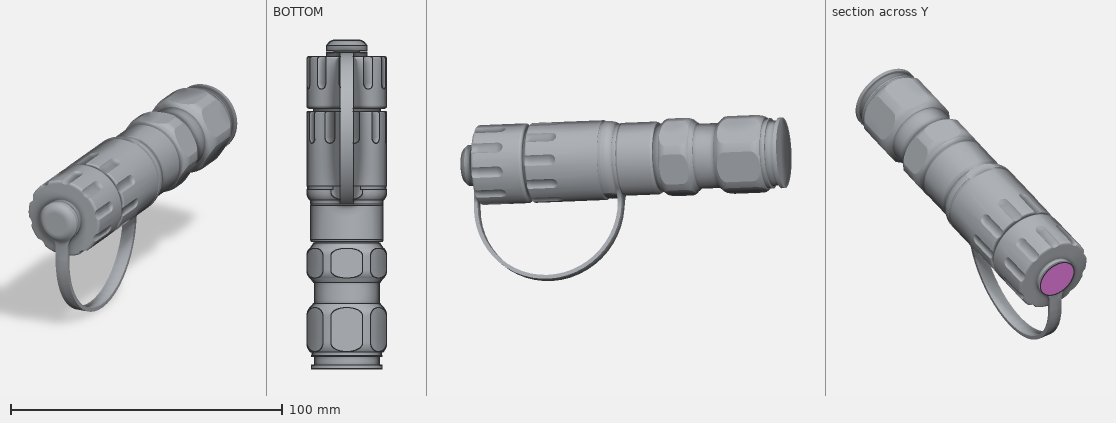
import cadquery as cq
import math


length = 121.2
sleeve_dia = 29.5
nut_flat_width = 27.0
body_dia = 26.9
barrel_dia = 24.0
flange_dia = 26.0
nut_collar_dia = 25.6
nut_end_dia = 26.7
rear_neck_dia = 23.5
front_neck_dia = 24.7
cap_dia = 15.0
cap_neck_dia = 9.5

rear_flange_end = 1.3
rear_collar_start = 4.5
rear_collar_end = 5.0

rear_nut_start = 6.2
rear_nut_end = 22.8
rear_nut_round = 3.4
rear_nut_cone = 1.2
front_nut_start = 33.3
front_nut_end = 44.6
front_nut_round = 2.9
front_nut_rear_cone = 1.5
front_nut_front_cone = 1.7
nut_cone_drop = 1.1

body_start = 46.9
body_end = 60.7
body_rear_chamfer_length = 0.8
body_front_chamfer_length = 0.6
body_chamfer_depth = 0.4

strap_thickness = 1.5
strap_width = 5.0
rear_ring_dia = 26.7
ring_flare_radius = 7.3
strap_drop = 16.1

shoulder_start = body_end + strap_thickness
shoulder_round_end = 65.1
shoulder_land_end = 66.2
shoulder_groove_dia = 28.8
sleeve_start = 67.4
sleeve_end = 94.9
sleeve_edge_round = 0.7

collar_start = 96.0
collar_end = 115.1
collar_rear_round = 1.1
collar_front_round = 1.0

cap_ring_end = collar_end + strap_thickness
knob_start = 117.2
knob_rear_round = 0.2
knob_cone_start = 119.1
knob_crown_start = 120.2
knob_crown_dia = 13.1
knob_face_dia = 8.6

flute_count = 10
flute_radius = 2.4
flute_floor_radius = 13.6
sleeve_flute_ball = 85.2
sleeve_flute_angle = 29.0
collar_flute_ball = 105.2
collar_flute_angle = 14.7


def cylinder(diameter, start, end):
    """A round section of the axis between two stations."""
    plane = cq.Workplane("XZ", origin=(0, -start, 0))
    return plane.circle(diameter / 2).extrude(end - start)


def revolve(profile):
    """Turn a closed profile, drawn as (radius, -station), about the Y axis."""
    return profile.close().revolve(360, (0, 0, 0), (0, 1, 0))


def shoulder_arc_middle(crest_radius, crest_station, drop, run):
    """Middle point of an arc that leaves a crest tangentially, falling by drop over a signed run."""
    arc_radius = (drop**2 + run**2) / (2 * drop)
    half_angle = math.asin(abs(run) / arc_radius) / 2
    radius = crest_radius - arc_radius * (1 - math.cos(half_angle))
    station = crest_station + math.copysign(arc_radius * math.sin(half_angle), run)
    return (radius, -station)


def hex_nut(start, end, rounding, rear_cone, front_cone):
    """Hexagonal nut with rounded-off corners and optional cones at its ends."""
    crest = sleeve_dia / 2
    edge = nut_end_dia / 2
    drop = crest - edge
    crest_start = start + rounding
    crest_end = end - rounding
    profile = cq.Workplane("XY").moveTo(0, -(start - rear_cone))
    if rear_cone > 0:
        profile = profile.lineTo(edge - nut_cone_drop, -(start - rear_cone))
    profile = (
        profile.lineTo(edge, -start)
        .threePointArc(shoulder_arc_middle(crest, crest_start, drop, -rounding), (crest, -crest_start))
        .lineTo(crest, -crest_end)
        .threePointArc(shoulder_arc_middle(crest, crest_end, drop, rounding), (edge, -end))
        .lineTo(edge - nut_cone_drop, -(end + front_cone))
        .lineTo(0, -(end + front_cone))
    )
    corner_dia = nut_flat_width / math.cos(math.pi / 6)
    hexagon = cq.Workplane("XZ", origin=(0, -(start - rear_cone), 0)).polygon(6, corner_dia)
    return revolve(profile).intersect(hexagon.extrude(end + front_cone - start + rear_cone))


def barrel():
    """Rear barrel with its end flange and the collar behind the rear nut."""
    rear_flange = cylinder(flange_dia, 0, rear_flange_end)
    collar = cylinder(flange_dia, rear_collar_start, rear_collar_end)
    nut_collar = cylinder(nut_collar_dia, rear_collar_end, rear_nut_start)
    tube = cylinder(barrel_dia, 0, front_nut_start)
    return tube.union(rear_flange).union(collar).union(nut_collar)


def body():
    """Plain body in front of the front nut, with the neck that joins it to the nut."""
    neck = cylinder(rear_neck_dia, front_nut_start, body_start)
    main = revolve(
        cq.Workplane("XY")
        .moveTo(0, -body_start)
        .lineTo(body_dia / 2 - body_chamfer_depth, -body_start)
        .lineTo(body_dia / 2, -(body_start + body_rear_chamfer_length))
        .lineTo(body_dia / 2, -(body_end - body_front_chamfer_length))
        .lineTo(body_dia / 2 - body_chamfer_depth, -body_end)
        .lineTo(0, -body_end)
    )
    return neck.union(main)


def flutes(ball_station, end, first_angle):
    """Ring of shallow round-bottomed flutes, ball-ended at the rear and open toward the front."""
    rod = cylinder(2 * flute_radius, ball_station, end)
    ball = cq.Workplane("XY", origin=(0, -ball_station, 0)).sphere(flute_radius)
    flute = rod.union(ball).translate((flute_floor_radius + flute_radius, 0, 0))
    cutters = cq.Workplane("XY")
    for index in range(flute_count):
        angle = first_angle + index * 360 / flute_count
        cutters = cutters.add(flute.rotate((0, 0, 0), (0, 1, 0), -angle))
    return cutters.combine()


def sleeve():
    """Fluted sleeve with a rounded rear shoulder that carries flats above and below."""
    crest = sleeve_dia / 2
    edge = body_dia / 2
    rise = shoulder_round_end - shoulder_start
    shoulder = revolve(
        cq.Workplane("XY")
        .moveTo(0, -shoulder_start)
        .lineTo(edge, -shoulder_start)
        .threePointArc(
            shoulder_arc_middle(crest, shoulder_round_end, crest - edge, -rise),
            (crest, -shoulder_round_end),
        )
        .lineTo(crest, -shoulder_land_end)
        .lineTo(shoulder_groove_dia / 2, -shoulder_land_end)
        .lineTo(shoulder_groove_dia / 2, -sleeve_start)
        .lineTo(0, -sleeve_start)
    )
    shoulder_length = sleeve_start - shoulder_start
    flats = cq.Workplane("XY", origin=(0, -(shoulder_start + sleeve_start) / 2, 0)).box(
        sleeve_dia, shoulder_length, nut_flat_width
    )
    grip = cylinder(sleeve_dia, sleeve_start, sleeve_end).faces("<Y").edges().fillet(sleeve_edge_round)
    grip = grip.cut(flutes(sleeve_flute_ball, sleeve_end, sleeve_flute_angle))
    return shoulder.intersect(flats).union(grip)


def front_collar():
    """Fluted collar with rounded ends, and the neck that joins it to the sleeve."""
    neck = cylinder(front_neck_dia, sleeve_end, collar_start)
    collar = cylinder(sleeve_dia, collar_start, collar_end)
    collar = collar.faces(">Y").edges().fillet(collar_rear_round)
    collar = collar.faces("<Y").edges().fillet(collar_front_round)
    return neck.union(collar.cut(flutes(collar_flute_ball, collar_end, collar_flute_angle)))


def cap_knob():
    """Mushroom knob with a conical edge and a rounded crown."""
    crown_drop = (knob_crown_dia - knob_face_dia) / 2
    crown_rise = length - knob_crown_start
    crown_radius = (crown_drop**2 + crown_rise**2) / (2 * crown_rise)
    half_angle = math.asin(crown_drop / crown_radius) / 2
    crown_middle = (
        knob_face_dia / 2 + crown_radius * math.sin(half_angle),
        -(length - crown_radius * (1 - math.cos(half_angle))),
    )
    knob = revolve(
        cq.Workplane("XY")
        .moveTo(0, -knob_start)
        .lineTo(cap_dia / 2, -knob_start)
        .lineTo(cap_dia / 2, -knob_cone_start)
        .lineTo(knob_crown_dia / 2, -knob_crown_start)
        .threePointArc(crown_middle, (knob_face_dia / 2, -length))
        .lineTo(0, -length)
    )
    knob = knob.faces(">Y").edges().fillet(knob_rear_round)
    return knob.union(cylinder(cap_neck_dia, cap_ring_end, knob_start))


def strap_ring(diameter, start):
    """Flat ring whose lower side flares tangentially into a straight tab of the strap."""
    center_x = strap_width / 2 + ring_flare_radius
    reach = diameter / 2 + ring_flare_radius
    center_z = -math.sqrt(reach**2 - center_x**2)
    touch_ratio = diameter / 2 / reach
    touch_x = center_x * touch_ratio
    touch_z = center_z * touch_ratio
    half_sweep = math.atan2(-center_z, center_x) / 2
    middle_x = center_x - ring_flare_radius * math.cos(half_sweep)
    middle_z = center_z + ring_flare_radius * math.sin(half_sweep)
    plane = cq.Workplane("XZ", origin=(0, -start, 0))
    flare = (
        plane.moveTo(-touch_x, touch_z)
        .lineTo(touch_x, touch_z)
        .threePointArc((middle_x, middle_z), (strap_width / 2, center_z))
        .lineTo(-strap_width / 2, center_z)
        .threePointArc((-middle_x, middle_z), (-touch_x, touch_z))
        .close()
        .extrude(strap_thickness)
    )
    tab = plane.center(0, -strap_drop / 2).rect(strap_width, strap_drop).extrude(strap_thickness)
    return cylinder(diameter, start, start + strap_thickness).union(flare).union(tab)


def strap_loop():
    """Half-round strap hanging below the axis between the two rings."""
    outer_radius = (cap_ring_end - body_end) / 2
    center_y = -(cap_ring_end + body_end) / 2
    loop = (
        cq.Workplane("YZ", origin=(-strap_width / 2, center_y, -strap_drop))
        .circle(outer_radius)
        .circle(outer_radius - strap_thickness)
        .extrude(strap_width)
    )
    lower_half = cq.Workplane("XY").box(
        strap_width, 2 * outer_radius, outer_radius, centered=(True, True, False)
    )
    return loop.intersect(lower_half.translate((0, center_y, -strap_drop - outer_radius)))


rear_nut = hex_nut(rear_nut_start, rear_nut_end, rear_nut_round, 0, rear_nut_cone)
front_nut = hex_nut(
    front_nut_start, front_nut_end, front_nut_round, front_nut_rear_cone, front_nut_front_cone
)

result = (
    barrel()
    .union(rear_nut)
    .union(front_nut)
    .union(body())
    .union(strap_ring(rear_ring_dia, body_end))
    .union(sleeve())
    .union(front_collar())
    .union(strap_ring(cap_dia, collar_end))
    .union(cap_knob())
    .union(strap_loop())
)